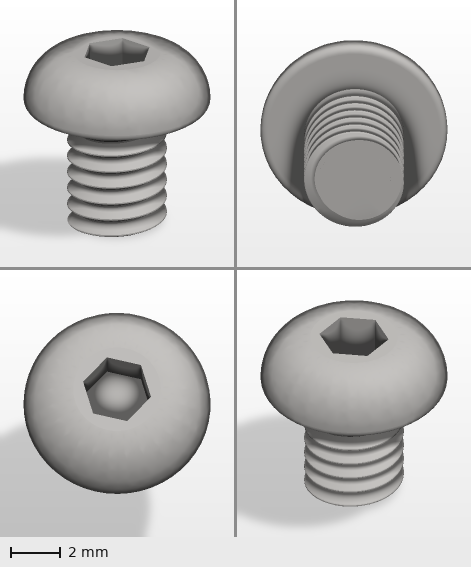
import cadquery as cq
import math

head_diameter = 7.5
head_height = 2.295
crown_radius = 2.025
crown_flat_diameter = 3.51
rim_fillet = 0.285
socket_across_flats = 2.42
socket_depth = 1.875

shank_length = 5.0
core_diameter = 2.96
thread_diameter = 4.0
pitch_share = 0.14
thread_pitch = pitch_share * shank_length
crest_width = 0.05
shoulder_width = 0.105
shoulder_depth = 0.03
root_gap = 0.075
root_width = thread_pitch - root_gap
start_angle = -90.0

head_radius = head_diameter / 2
core_radius = core_diameter / 2
thread_radius = thread_diameter / 2
screw_length = shank_length + head_height


def make_head():
    """Domed button head: crown arc above a rounded rim, with a flat underside at z = shank_length."""
    crown_center_x = head_radius - crown_radius
    flat_radius = crown_flat_diameter / 2
    rim_top = shank_length + rim_fillet
    middle = crown_radius * math.sqrt(0.5)
    fillet_middle = rim_fillet * (1 - math.sqrt(0.5))
    return (
        cq.Workplane("XZ")
        .moveTo(0, shank_length)
        .lineTo(head_radius - rim_fillet, shank_length)
        .threePointArc(
            (head_radius - fillet_middle, shank_length + fillet_middle),
            (head_radius, rim_top),
        )
        .threePointArc(
            (crown_center_x + middle, rim_top + middle),
            (flat_radius, screw_length),
        )
        .lineTo(0, screw_length)
        .close()
        .revolve(360, (0, 0, 0), (0, 1, 0))
    )


def make_socket():
    """Blind hexagonal drive socket with two corners on the Y axis."""
    across_corners = socket_across_flats / math.cos(math.pi / 6)
    return (
        cq.Workplane("XY", origin=(0, 0, screw_length - socket_depth))
        .transformed(rotate=(0, 0, 90))
        .polygon(6, across_corners)
        .extrude(socket_depth)
    )


def make_screw():
    """Head and plain core cylinder, with the drive socket cut into the head."""
    core = cq.Workplane("XY").circle(core_radius).extrude(shank_length)
    return make_head().union(core).cut(make_socket())


def make_thread():
    """Helical ridge on the core with broken crest corners, trimmed flat at the tip and under the head."""
    overrun = 2 * thread_pitch
    helix_height = shank_length + 2 * overrun

    def helix(radius, offset):
        wire = cq.Wire.makeHelix(thread_pitch, helix_height, radius)
        return wire.translate(cq.Vector(0, 0, offset))

    shoulder_radius = thread_radius - shoulder_depth
    edges = [
        helix(core_radius, -root_width / 2),
        helix(shoulder_radius, -shoulder_width / 2),
        helix(thread_radius, -crest_width / 2),
        helix(thread_radius, crest_width / 2),
        helix(shoulder_radius, shoulder_width / 2),
        helix(core_radius, root_width / 2),
    ]
    following_edges = edges[1:] + edges[:1]
    faces = [cq.Face.makeRuledSurface(a, b) for a, b in zip(edges, following_edges)]
    for end in (0, 1):
        corners = [edge.positionAt(end) for edge in edges]
        faces.append(cq.Face.makeFromWires(cq.Wire.makePolygon(corners, close=True)))
    ridge = cq.Solid.makeSolid(cq.Shell.makeShell(faces))
    ridge = ridge.translate(cq.Vector(0, 0, -overrun))
    ridge = ridge.rotate(cq.Vector(0, 0, 0), cq.Vector(0, 0, 1), start_angle)
    trim = cq.Workplane("XY").circle(thread_diameter).extrude(shank_length)
    return trim.intersect(cq.Workplane(obj=ridge))


screw = make_screw()
thread = make_thread()
result = cq.Compound.makeCompound([screw.val(), *thread.solids().vals()])